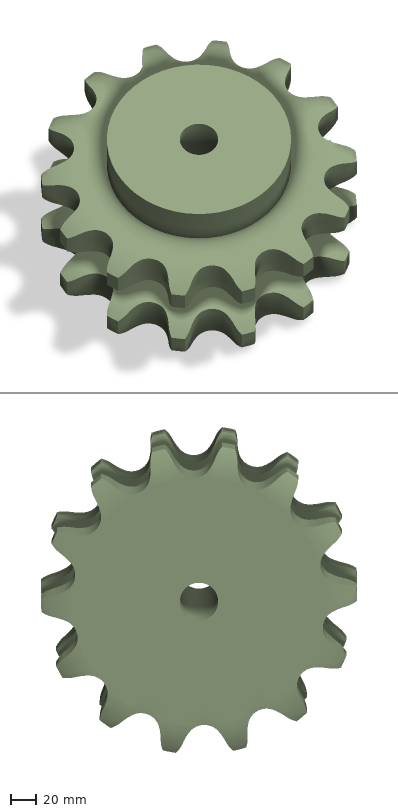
import cadquery as cq
import math


tooth_count = 14
chain_pitch = 50.8
roller_diameter = 29.0
tip_radius = 124.5
tooth_width = 28.9
strand_count = 2
strand_spacing = 58.5
flat_side_radius = 100.3
tip_relief = 6.0
hub_diameter = 145.0
hub_height = 120.0
bore_diameter = 30.0

seating_clearance = 1.005
working_centre_factor = 0.8
topping_centre_factor = 1.4

tooth_step = 2 * math.pi / tooth_count
half_step = tooth_step / 2
pitch_radius = chain_pitch / (2 * math.sin(half_step))
seating_radius = seating_clearance * roller_diameter / 2
seating_angle = math.radians(35 + 60 / tooth_count)
working_angle = math.radians(18 - 56 / tooth_count)
flank_angle = seating_angle - working_angle


def polar(centre, radius, angle):
    """Point at a distance and direction from a centre."""
    return (centre[0] + radius * math.cos(angle), centre[1] + radius * math.sin(angle))


def half_gap_points():
    """Points down one side of a tooth gap, from tooth tip to root.

    The gap is centred on +Y. From the root outwards its +X side is a seating arc,
    a working arc, a straight flank and a convex topping arc.
    """
    roller_centre = (0, pitch_radius)
    root = polar(roller_centre, seating_radius, -math.pi / 2)
    seating_end = polar(roller_centre, seating_radius, -seating_angle)

    working_offset = working_centre_factor * roller_diameter
    working_centre = polar(roller_centre, working_offset, math.pi - seating_angle)
    working_radius = seating_radius + working_offset
    working_middle = polar(working_centre, working_radius, -(seating_angle + flank_angle) / 2)
    flank_start = polar(working_centre, working_radius, -flank_angle)

    topping_offset = topping_centre_factor * roller_diameter
    topping_centre = polar(roller_centre, topping_offset, -half_step)
    to_centre = (topping_centre[0] - flank_start[0], topping_centre[1] - flank_start[1])
    flank_direction = (math.sin(flank_angle), math.cos(flank_angle))
    flank_length = to_centre[0] * flank_direction[0] + to_centre[1] * flank_direction[1]
    flank_end = polar(flank_start, flank_length, math.pi / 2 - flank_angle)
    topping_radius = math.dist(topping_centre, flank_end)

    centre_distance = math.hypot(*topping_centre)
    centre_direction = math.atan2(topping_centre[1], topping_centre[0])
    cosine = (tip_radius**2 + centre_distance**2 - topping_radius**2) / (2 * tip_radius * centre_distance)
    tip = polar((0, 0), tip_radius, centre_direction + math.acos(cosine))
    tip_angle = math.atan2(tip[1] - topping_centre[1], tip[0] - topping_centre[0])
    flank_end_angle = math.pi - flank_angle
    topping_middle = polar(topping_centre, topping_radius, (tip_angle + flank_end_angle) / 2)

    return [tip, topping_middle, flank_end, flank_start, working_middle, seating_end, root]


def turned(point, angle):
    """Point turned about the sprocket axis."""
    return polar((0, 0), math.hypot(*point), math.atan2(point[1], point[0]) + angle)


def toothed_prism():
    """Straight-sided toothed disc, with a tooth centred on +X."""
    right_side = half_gap_points()
    left_side = [(-x, y) for x, y in reversed(right_side)]
    gap = right_side + left_side[1:]
    first_turn = half_step - math.pi / 2

    outline = cq.Workplane("XY").moveTo(*turned(gap[0], first_turn))
    for index in range(tooth_count):
        turn = first_turn + index * tooth_step
        points = [turned(point, turn) for point in gap]
        (_, topping_in, flank_top_in, flank_foot_in, working_in, seat_in, root,
         seat_out, working_out, flank_foot_out, flank_top_out, topping_out, tip_out) = points
        tooth_middle = polar((0, 0), tip_radius, (index + 1) * tooth_step)
        next_tip = turned(gap[0], turn + tooth_step)
        outline = (
            outline.threePointArc(topping_in, flank_top_in)
            .lineTo(*flank_foot_in)
            .threePointArc(working_in, seat_in)
            .threePointArc(root, seat_out)
            .threePointArc(working_out, flank_foot_out)
            .lineTo(*flank_top_out)
            .threePointArc(topping_out, tip_out)
            .threePointArc(tooth_middle, next_tip)
        )
    return outline.close().extrude(tooth_width)


def relieved_blank():
    """Disc whose flat sides curve tangentially inwards towards the tip circle."""
    run = tip_radius - flat_side_radius
    relief_radius = (run**2 + tip_relief**2) / (2 * tip_relief)
    half_sweep = math.asin(run / relief_radius) / 2
    middle_radius = flat_side_radius + relief_radius * math.sin(half_sweep)
    middle_drop = relief_radius * (1 - math.cos(half_sweep))
    return (
        cq.Workplane("XZ")
        .lineTo(flat_side_radius, 0)
        .threePointArc((middle_radius, middle_drop), (tip_radius, tip_relief))
        .lineTo(tip_radius, tooth_width - tip_relief)
        .threePointArc((middle_radius, tooth_width - middle_drop), (flat_side_radius, tooth_width))
        .lineTo(0, tooth_width)
        .close()
        .revolve(360, (0, 0, 0), (0, 1, 0))
    )


sprocket = toothed_prism().intersect(relieved_blank(), clean=False)
hub = cq.Workplane("XY").circle(hub_diameter / 2).extrude(hub_height)
bore = cq.Workplane("XY").circle(bore_diameter / 2).extrude(hub_height)

result = hub
for strand in range(strand_count):
    result = result.union(sprocket.translate((0, 0, strand * strand_spacing)), clean=False)
result = result.cut(bore, clean=False)